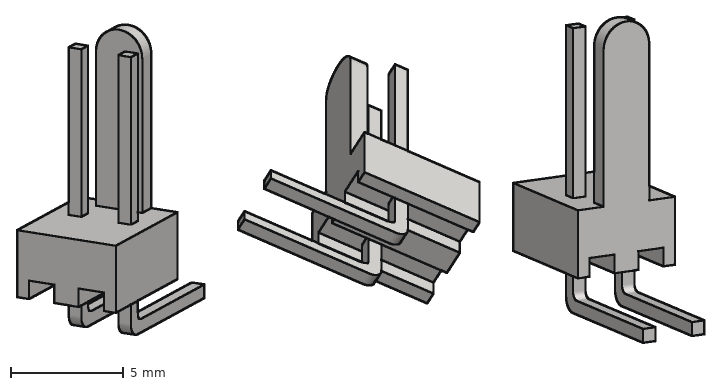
import cadquery as cq

body_width = 5.0
body_depth = 5.8
body_height = 3.13
slot_width = 1.27
slot_height = 0.86

pin_pitch = 2.51
pin_size = 0.64
pin_y = -2.35
pin_top = 10.93
pin_bottom = -2.15
tail_end_y = 4.23
bend_outer_radius = 0.61
bend_inner_radius = 0.31

tongue_width = 2.35
tongue_thickness = 0.86
tongue_top = 11.5

pin_positions = (-pin_pitch / 2, pin_pitch / 2)


def make_housing():
    """Block with a slot along Y under each pin."""
    housing = cq.Workplane("XY").box(body_width, body_depth, body_height, centered=(True, False, False))
    housing = housing.translate((0, -body_depth, 0))
    for x in pin_positions:
        slot = cq.Workplane("XY").box(slot_width, body_depth, slot_height, centered=(True, False, False))
        housing = housing.cut(slot.translate((x, -body_depth, 0)))
    return housing


def make_tongue():
    """Upright strip finished with a full half-circle."""
    radius = tongue_width / 2
    shoulder = tongue_top - radius
    return (
        cq.Workplane("XZ")
        .moveTo(-radius, body_height)
        .lineTo(-radius, shoulder)
        .threePointArc((0, tongue_top), (radius, shoulder))
        .lineTo(radius, body_height)
        .close()
        .extrude(tongue_thickness)
    )


def make_pin(x):
    """Square pin that bends below the housing and runs towards +Y."""
    front = pin_y - pin_size / 2
    back = front + pin_size
    tail_top = pin_bottom + pin_size
    profile = (
        cq.Workplane("YZ")
        .moveTo(front, pin_top)
        .lineTo(front, pin_bottom + bend_outer_radius)
        .radiusArc((front + bend_outer_radius, pin_bottom), -bend_outer_radius)
        .lineTo(tail_end_y, pin_bottom)
        .lineTo(tail_end_y, tail_top)
        .lineTo(back + bend_inner_radius, tail_top)
        .radiusArc((back, tail_top + bend_inner_radius), bend_inner_radius)
        .lineTo(back, pin_top)
        .close()
    )
    return profile.extrude(pin_size / 2, both=True).translate((x, 0, 0))


result = make_housing().union(make_tongue())
for pin_x in pin_positions:
    result = result.union(make_pin(pin_x))